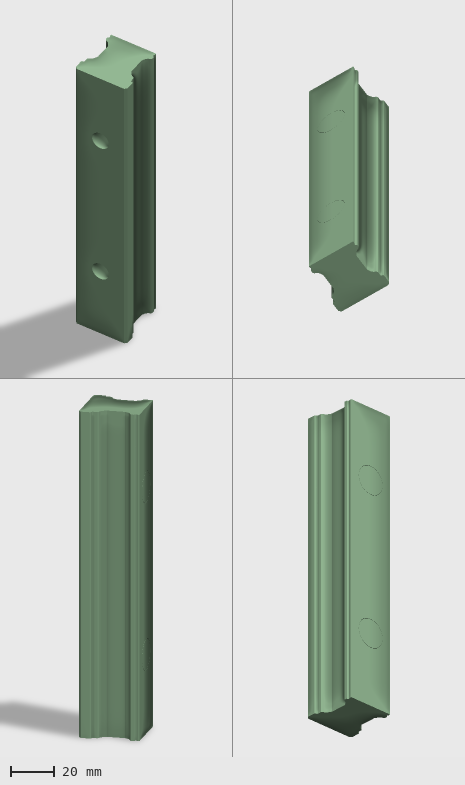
import cadquery as cq

LENGTH = 156.0
HEIGHT = 28.4
BASE_WIDTH = 28.0

BASE_HALF = BASE_WIDTH / 2
LIP_HALF = 12.6
WAIST_HALF = 9.2
RACE_INNER_HALF = 9.8
HEAD_HALF = 12.2
HEAD_RELIEF_HALF = 11.9

BASE_TOP = 6.0
LOWER_LIP_TOP = 8.6
LOWER_RACE_TOP = 11.0
WAIST_BOTTOM = 12.3
WAIST_TOP = 20.9
UPPER_RACE_BOTTOM = 22.2
UPPER_LIP_BOTTOM = 24.5
UPPER_LIP_TOP = 25.9
HEAD_RELIEF_MIDDLE = 26.7
HEAD_RELIEF_TOP = 27.5

BASE_CHAMFER = 1.1
STEP_RADIUS = (BASE_HALF - LIP_HALF) / 2
LIP_CHAMFER = 0.6
RACE_SAG = 0.3

HOLE_PITCH = 80.0
HOLE_DIAMETER = 9.0
COUNTERBORE_DIAMETER = 15.0
COUNTERBORE_DEPTH = 12.0
CAP_DIAMETER = 14.7

MOUNTING_FACE_Y = -HEIGHT / 2
HEAD_FACE_Y = HEIGHT / 2
COUNTERBORE_FLOOR_Y = HEAD_FACE_Y - COUNTERBORE_DEPTH
HOLE_HEIGHTS = (-HOLE_PITCH / 2, HOLE_PITCH / 2)


def race_middle(start, end):
    """Midpoint of a ball race arc, sunk into the rail from its chord."""
    chord_x = end[0] - start[0]
    chord_y = end[1] - start[1]
    chord = (chord_x**2 + chord_y**2) ** 0.5
    return (
        (start[0] + end[0]) / 2 - RACE_SAG * chord_y / chord,
        (start[1] + end[1]) / 2 + RACE_SAG * chord_x / chord,
    )


def make_rail_blank():
    """Extrude half of the cross-section along Z and mirror it about the YZ plane."""
    lower_race_start = (LIP_HALF - LIP_CHAMFER, LOWER_LIP_TOP + LIP_CHAMFER)
    lower_race_end = (RACE_INNER_HALF, LOWER_RACE_TOP)
    upper_race_start = (RACE_INNER_HALF, UPPER_RACE_BOTTOM)
    upper_race_end = (LIP_HALF - LIP_CHAMFER, UPPER_LIP_BOTTOM - LIP_CHAMFER)
    half = (
        cq.Workplane("XY")
        .workplane(offset=-LENGTH / 2)
        .center(0, MOUNTING_FACE_Y)
        .moveTo(0, 0)
        .lineTo(BASE_HALF - BASE_CHAMFER, 0)
        .lineTo(BASE_HALF, BASE_CHAMFER)
        .lineTo(BASE_HALF, BASE_TOP - STEP_RADIUS)
        .radiusArc((BASE_HALF - STEP_RADIUS, BASE_TOP), -STEP_RADIUS)
        .radiusArc((LIP_HALF, BASE_TOP + STEP_RADIUS), STEP_RADIUS)
        .lineTo(LIP_HALF, LOWER_LIP_TOP)
        .lineTo(*lower_race_start)
        .threePointArc(race_middle(lower_race_start, lower_race_end), lower_race_end)
        .lineTo(WAIST_HALF, WAIST_BOTTOM)
        .lineTo(WAIST_HALF, WAIST_TOP)
        .lineTo(*upper_race_start)
        .threePointArc(race_middle(upper_race_start, upper_race_end), upper_race_end)
        .lineTo(LIP_HALF, UPPER_LIP_BOTTOM)
        .lineTo(LIP_HALF, UPPER_LIP_TOP)
        .threePointArc((HEAD_RELIEF_HALF, HEAD_RELIEF_MIDDLE), (HEAD_HALF, HEAD_RELIEF_TOP))
        .lineTo(HEAD_HALF, HEIGHT)
        .lineTo(0, HEIGHT)
        .close()
        .extrude(LENGTH)
    )
    return half.union(half.mirror("YZ")).clean()


def make_y_cylinder(diameter, start_y, end_y, height):
    """Cylinder parallel to Y, centred at X = 0 and at the given Z height."""
    start = cq.Vector(0, start_y, height)
    direction = cq.Vector(0, 1, 0)
    return cq.Workplane(cq.Solid.makeCylinder(diameter / 2, end_y - start_y, start, direction))


def make_rail():
    """Rail with counterbored mounting holes entering from the head face."""
    rail = make_rail_blank()
    for height in HOLE_HEIGHTS:
        hole = make_y_cylinder(HOLE_DIAMETER, MOUNTING_FACE_Y, HEAD_FACE_Y, height)
        counterbore = make_y_cylinder(COUNTERBORE_DIAMETER, COUNTERBORE_FLOOR_Y, HEAD_FACE_Y, height)
        rail = rail.cut(hole).cut(counterbore)
    return rail


def make_cap(height):
    """Cap seated on the counterbore floor and flush with the head face."""
    return make_y_cylinder(CAP_DIAMETER, COUNTERBORE_FLOOR_Y, HEAD_FACE_Y, height)


rail = make_rail()
caps = [make_cap(height) for height in HOLE_HEIGHTS]

result = cq.Compound.makeCompound([rail.val(), *[cap.val() for cap in caps]])